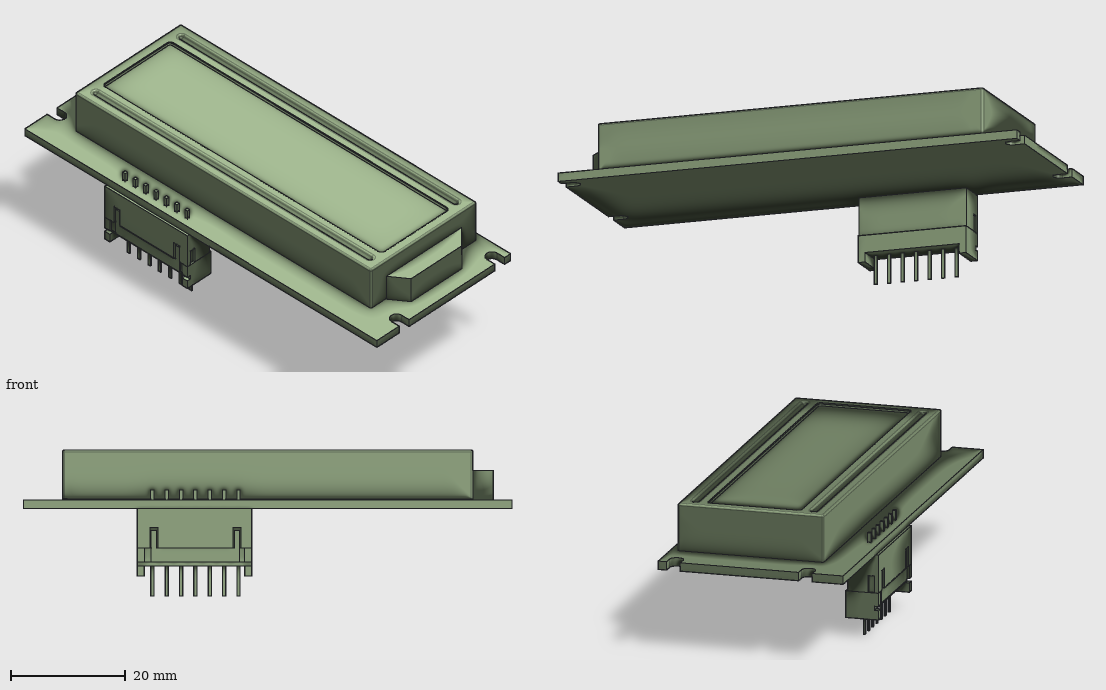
import cadquery as cq

BOARD_LENGTH = 85.0
BOARD_WIDTH = 33.6
BOARD_THICKNESS = 1.5
BOARD_FRONT = -BOARD_WIDTH / 2
NOTCH_WIDTH = 2.5
NOTCH_DEPTH = 3.1
NOTCH_SPACING = 24.0

DISPLAY_LENGTH = 71.4
DISPLAY_WIDTH = 26.5
DISPLAY_HEIGHT = 8.7
DISPLAY_CENTER_Y = 2.0
DISPLAY_EDGE_RADIUS = 0.3
BASE_INSET = 0.85
BASE_HEIGHT = 0.2
DISPLAY_TOP = BOARD_THICKNESS + DISPLAY_HEIGHT
WINDOW_LENGTH = 67.5
WINDOW_WIDTH = 17.1
WINDOW_DEPTH = 0.5
WINDOW_CORNER_RADIUS = 0.8
WINDOW_CHAMFER = 0.25
GROOVE_LENGTH = 68.0
GROOVE_WIDTH = 1.9
GROOVE_SPACING = 21.5
GROOVE_DEPTH = 0.5
TAB_END_X = 39.3
TAB_HEIGHT = 5.1
TAB_ROOT_BACK_Y = 11.6
TAB_END_BACK_Y = 7.9
TAB_END_FRONT_Y = -4.85
TAB_ROOT_FRONT_Y = -7.3

CONNECTOR_CENTER_X = -12.75
CONNECTOR_LENGTH = 20.0
CONNECTOR_OVERHANG = 0.5
CONNECTOR_FRONT = BOARD_FRONT - CONNECTOR_OVERHANG
HEADER_WIDTH = 5.6
HEADER_HEIGHT = 6.9
PLUG_WIDTH = 5.95
PLUG_HEIGHT = 4.85
PLUG_BOTTOM = -HEADER_HEIGHT - PLUG_HEIGHT
END_WALL = 1.3
FRONT_GROOVE_TOP = -9.3
FRONT_GROOVE_HEIGHT = 0.8
FRONT_GROOVE_DEPTH = 0.8
FRONT_GROOVE_BOTTOM = FRONT_GROOVE_TOP - FRONT_GROOVE_HEIGHT

LATCH_CENTER_X = -12.6
LATCH_LENGTH = 14.9
ARM_WIDTH = 0.9
ARM_SPACING = 14.45
ARM_TOP = -3.8
LATCH_SETBACK = 0.2
PLUG_FRONT_RECESS = 0.4
LATCH_SLOT_WIDTH = 1.45
LATCH_SLOT_TOP = -3.3
LATCH_SLOT_DEPTH = 1.1

SIDE_RECESS_WIDTH = 1.1
SIDE_RECESS_TOP = -3.8
SIDE_RECESS_DEPTH = 0.4
SIDE_RECESS_SETBACK = 0.8

PIN_COUNT = 7
PIN_ROW_CENTER_X = LATCH_CENTER_X
PIN_PITCH = 2.5
PIN_WIDTH = 0.6
BOARD_PIN_Y = BOARD_FRONT + 1.9
BOARD_PIN_TOP = 3.2
PLUG_PIN_Y = BOARD_FRONT + 2.8
PLUG_PIN_THICKNESS = 0.25
PLUG_PIN_BOTTOM = -15.2


def block(x_min, x_max, y_min, y_max, z_min, z_max):
    """Box given by its limits along each axis."""
    size = (x_max - x_min, y_max - y_min, z_max - z_min)
    return cq.Workplane("XY").box(*size, centered=False).translate((x_min, y_min, z_min))


def centered_block(center_x, length, y_min, y_max, z_min, z_max):
    """Box centred on an X position, with limits along Y and Z."""
    return block(center_x - length / 2, center_x + length / 2, y_min, y_max, z_min, z_max)


def pin_row(center_y, thickness, z_min, z_max):
    """One row of rectangular pins, spread along X."""
    return (
        cq.Workplane("XY", origin=(PIN_ROW_CENTER_X, center_y, z_min))
        .rarray(PIN_PITCH, 0.85, PIN_COUNT, 1)
        .rect(PIN_WIDTH, thickness)
        .extrude(z_max - z_min)
    )


def board_pins():
    """Pins that rise from the header through the board."""
    return pin_row(BOARD_PIN_Y, PIN_WIDTH, 0, BOARD_PIN_TOP)


def make_board():
    plate = cq.Workplane("XY").box(BOARD_LENGTH, BOARD_WIDTH, BOARD_THICKNESS, centered=(True, True, False))
    notches = (
        cq.Workplane("XY", origin=(0, DISPLAY_CENTER_Y, 0))
        .rarray(BOARD_LENGTH, NOTCH_SPACING, 2, 2)
        .slot2D(2 * NOTCH_DEPTH, NOTCH_WIDTH)
        .extrude(BOARD_THICKNESS)
    )
    return plate.cut(notches).cut(board_pins())


def make_display_tab():
    """Six-sided backlight tab that emerges from the +X end of the display."""
    return (
        cq.Workplane("XY", origin=(0, 0, BOARD_THICKNESS))
        .moveTo(0, TAB_ROOT_FRONT_Y)
        .lineTo(DISPLAY_LENGTH / 2, TAB_ROOT_FRONT_Y)
        .lineTo(TAB_END_X, TAB_END_FRONT_Y)
        .lineTo(TAB_END_X, TAB_END_BACK_Y)
        .lineTo(DISPLAY_LENGTH / 2, TAB_ROOT_BACK_Y)
        .lineTo(0, TAB_ROOT_BACK_Y)
        .close()
        .extrude(TAB_HEIGHT)
    )


def groove_half_profile(plane, origin):
    """Half of the groove section: a rounded lip that flows into a rounded floor."""
    arc_span = GROOVE_WIDTH / 4
    arc_drop = GROOVE_DEPTH / 2
    arc_radius = (arc_span**2 + arc_drop**2) / (2 * arc_drop)
    return (
        cq.Workplane(plane, origin=origin)
        .lineTo(2 * arc_span, 0)
        .radiusArc((arc_span, -arc_drop), -arc_radius)
        .radiusArc((0, -GROOVE_DEPTH), arc_radius)
        .close()
    )


def make_groove(center_y):
    """Long groove with round ends; its two ends and its straight run share one section."""
    straight = GROOVE_LENGTH - GROOVE_WIDTH
    start = (-straight / 2, center_y, DISPLAY_TOP)
    half_run = groove_half_profile("YZ", start).extrude(straight)
    groove = half_run.union(half_run.mirror("XZ", (0, center_y, 0)))
    for side in (-1, 1):
        end_center = (side * straight / 2, center_y, DISPLAY_TOP)
        groove = groove.union(groove_half_profile("XZ", end_center).revolve(360, (0, 0, 0), (0, 1, 0)))
    return groove


def make_display_case():
    """Case with rounded upright and top edges, a window recess and two long grooves."""
    case = (
        cq.Workplane("XY", origin=(0, DISPLAY_CENTER_Y, BOARD_THICKNESS + BASE_HEIGHT))
        .rect(DISPLAY_LENGTH, DISPLAY_WIDTH)
        .extrude(DISPLAY_HEIGHT - BASE_HEIGHT)
        .edges("|Z or >Z")
        .fillet(DISPLAY_EDGE_RADIUS)
    )
    base = (
        cq.Workplane("XY", origin=(0, DISPLAY_CENTER_Y, BOARD_THICKNESS))
        .rect(DISPLAY_LENGTH - 2 * BASE_INSET, DISPLAY_WIDTH - 2 * BASE_INSET)
        .extrude(BASE_HEIGHT)
    )
    window = (
        cq.Workplane("XY", origin=(0, DISPLAY_CENTER_Y, DISPLAY_TOP - WINDOW_DEPTH))
        .rect(WINDOW_LENGTH, WINDOW_WIDTH)
        .extrude(WINDOW_DEPTH)
        .edges("|Z")
        .fillet(WINDOW_CORNER_RADIUS)
        .faces("<Z")
        .chamfer(WINDOW_CHAMFER)
    )
    case = case.union(base).cut(window)
    for side in (-1, 1):
        case = case.cut(make_groove(DISPLAY_CENTER_Y + side * GROOVE_SPACING / 2))
    return case


def make_display_module():
    """Board, display case and backlight tab as one body."""
    return make_board().union(make_display_case()).union(make_display_tab())


def make_header_housing():
    """Block under the board, with latch slots in its front and a recess in each end."""
    header = centered_block(
        CONNECTOR_CENTER_X, CONNECTOR_LENGTH,
        CONNECTOR_FRONT, CONNECTOR_FRONT + HEADER_WIDTH, -HEADER_HEIGHT, 0,
    )
    recess_front = CONNECTOR_FRONT + SIDE_RECESS_SETBACK
    for side in (-1, 1):
        slot = centered_block(
            LATCH_CENTER_X + side * ARM_SPACING / 2, LATCH_SLOT_WIDTH,
            CONNECTOR_FRONT, CONNECTOR_FRONT + LATCH_SLOT_DEPTH, -HEADER_HEIGHT, LATCH_SLOT_TOP,
        )
        recess = centered_block(
            CONNECTOR_CENTER_X + side * CONNECTOR_LENGTH / 2, 2 * SIDE_RECESS_DEPTH,
            recess_front, recess_front + SIDE_RECESS_WIDTH, -HEADER_HEIGHT, SIDE_RECESS_TOP,
        )
        header = header.cut(slot).cut(recess)
    return header


def make_plug_housing():
    """Block under the header, with end walls, a stepped front and a latch."""
    back = CONNECTOR_FRONT + PLUG_WIDTH
    inner_length = CONNECTOR_LENGTH - 2 * END_WALL
    plug = centered_block(
        CONNECTOR_CENTER_X, CONNECTOR_LENGTH, CONNECTOR_FRONT, back, PLUG_BOTTOM, -HEADER_HEIGHT
    )
    underside = centered_block(
        CONNECTOR_CENTER_X, inner_length, CONNECTOR_FRONT, back, PLUG_BOTTOM, FRONT_GROOVE_BOTTOM
    )
    groove = centered_block(
        CONNECTOR_CENTER_X, CONNECTOR_LENGTH,
        CONNECTOR_FRONT, CONNECTOR_FRONT + FRONT_GROOVE_DEPTH, FRONT_GROOVE_BOTTOM, FRONT_GROOVE_TOP,
    )
    front_recess = centered_block(
        CONNECTOR_CENTER_X, inner_length,
        CONNECTOR_FRONT, CONNECTOR_FRONT + PLUG_FRONT_RECESS, FRONT_GROOVE_TOP, -HEADER_HEIGHT,
    )
    plate = centered_block(
        LATCH_CENTER_X, LATCH_LENGTH,
        CONNECTOR_FRONT + LATCH_SETBACK, CONNECTOR_FRONT + LATCH_SLOT_DEPTH, FRONT_GROOVE_TOP, -HEADER_HEIGHT,
    )
    plug = plug.cut(underside).cut(groove).cut(front_recess).union(plate)
    for side in (-1, 1):
        arm = centered_block(
            LATCH_CENTER_X + side * ARM_SPACING / 2, ARM_WIDTH,
            CONNECTOR_FRONT + LATCH_SETBACK, CONNECTOR_FRONT + LATCH_SLOT_DEPTH, FRONT_GROOVE_TOP, ARM_TOP,
        )
        plug = plug.union(arm)
    return plug


def make_header():
    return make_header_housing().union(board_pins())


def make_plug():
    plug_pins = pin_row(PLUG_PIN_Y, PLUG_PIN_THICKNESS, PLUG_PIN_BOTTOM, FRONT_GROOVE_BOTTOM)
    return make_plug_housing().union(plug_pins)


display_module = make_display_module()
header = make_header()
plug = make_plug()

result = cq.Compound.makeCompound([display_module.val(), header.val(), plug.val()])